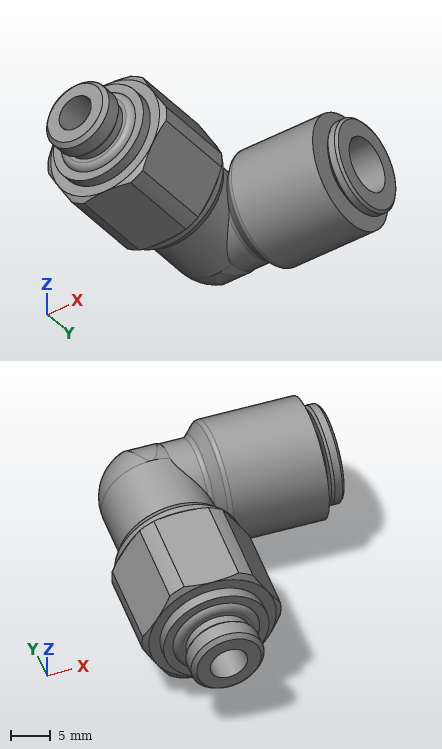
import cadquery as cq
import math


overall_length = 38.45

body_radius = 6.75
arm_radius = 6.3
body_end = -9.05

socket_radius = 8.1
socket_cone_end = 7.88
socket_blend_radius = 0.9
socket_end = 20.95
release_neck_radius = 4.6
release_radius = 6.55
release_start = 21.87
release_end = 23.55
release_chamfer = 0.35
arm_bore_radius = 3.85
arm_tip_depth = 2.23

collar_radius = 8.4
collar_top_radius = 7.73
collar_chamfer_end = -10.1
hex_start = -11.07
hex_end = -23.87
hex_flats = 17.03
hex_trim_radius = 9.25
hex_face_radius = 8.5
hex_chamfer_angle = 30

flange_radius = 7.05
flange_end = -25.35
seal_center_radius = 4.8
seal_section_radius = 1.05
seal_end = -26.02
undercut_radius = 4.3
undercut_end = -27.15
thread_radius = 4.9
thread_chamfer = thread_radius - undercut_radius
thread_end = socket_radius - overall_length
body_bore_radius = 2.5


def cylinder_y(radius, start, end):
    return cq.Workplane("XZ", origin=(0, start, 0)).circle(radius).extrude(start - end)


def revolve_y(profile):
    return profile.close().revolve(360, (0, 0, 0), (0, 1, 0))


def revolve_x(profile):
    return profile.close().revolve(360, (0, 0, 0), (1, 0, 0))


def make_elbow():
    """Round body with a domed top, flattened so that it meets the thinner arm."""
    domed_body = revolve_y(
        cq.Workplane("XY")
        .moveTo(0, body_end)
        .lineTo(body_radius, body_end)
        .lineTo(body_radius, 0)
        .threePointArc(
            (body_radius * math.sqrt(0.5), body_radius * math.sqrt(0.5)),
            (0, body_radius),
        )
    )
    clearance = 2 * body_radius
    dome_trim = (
        cq.Workplane("YZ", origin=(-body_radius, 0, 0))
        .moveTo(0, body_radius)
        .threePointArc((arm_radius, 0), (0, -body_radius))
        .lineTo(0, -clearance)
        .lineTo(clearance, -clearance)
        .lineTo(clearance, clearance)
        .lineTo(0, clearance)
        .close()
        .extrude(2 * body_radius)
    )
    return domed_body.cut(dome_trim)


def make_arm():
    """Arm and tube socket, joined by a 45 degree cone with rounded edges."""
    cone_start = socket_cone_end - (socket_radius - arm_radius)
    half_bend = math.radians(45 / 2)
    blend_length = socket_blend_radius * math.tan(half_bend)
    blend_leg = blend_length * math.sqrt(0.5)
    corner_gap = socket_blend_radius * (1 / math.cos(half_bend) - 1)
    gap_x = corner_gap * math.sin(half_bend)
    gap_r = corner_gap * math.cos(half_bend)
    arm = revolve_x(
        cq.Workplane("XY")
        .moveTo(0, 0)
        .lineTo(0, arm_radius)
        .lineTo(cone_start - blend_length, arm_radius)
        .threePointArc(
            (cone_start - gap_x, arm_radius + gap_r),
            (cone_start + blend_leg, arm_radius + blend_leg),
        )
        .lineTo(socket_cone_end - blend_leg, socket_radius - blend_leg)
        .threePointArc(
            (socket_cone_end + gap_x, socket_radius - gap_r),
            (socket_cone_end + blend_length, socket_radius),
        )
        .lineTo(socket_end, socket_radius)
        .lineTo(socket_end, release_neck_radius)
        .lineTo(release_start, release_neck_radius)
        .lineTo(release_start, 0)
    )
    release_ring = (
        cq.Workplane("YZ", origin=(release_start, 0, 0))
        .circle(release_radius)
        .extrude(release_end - release_start)
        .edges()
        .chamfer(release_chamfer)
    )
    return arm.union(release_ring)


def make_collar():
    return revolve_y(
        cq.Workplane("XY")
        .moveTo(0, body_end)
        .lineTo(collar_top_radius, body_end)
        .lineTo(collar_radius, collar_chamfer_end)
        .lineTo(collar_radius, hex_start)
        .lineTo(0, hex_start)
    )


def make_hexagon():
    """Hexagon with flats at +Z and -Z, trimmed to a round envelope with chamfered ends."""
    corner_diameter = hex_flats / math.cos(math.radians(30))
    prism = (
        cq.Workplane("XZ", origin=(0, hex_start, 0))
        .polygon(6, corner_diameter)
        .extrude(hex_start - hex_end)
    )
    slope = math.tan(math.radians(hex_chamfer_angle))
    chamfer_length = (hex_trim_radius - hex_face_radius) * slope
    envelope = revolve_y(
        cq.Workplane("XY")
        .moveTo(0, hex_start)
        .lineTo(hex_face_radius, hex_start)
        .lineTo(hex_trim_radius, hex_start - chamfer_length)
        .lineTo(hex_trim_radius, hex_end + chamfer_length)
        .lineTo(hex_face_radius, hex_end)
        .lineTo(0, hex_end)
    )
    return prism.intersect(envelope)


def make_threaded_end():
    """Flange, rounded seal ring, undercut and plain thread cylinder."""
    seal_center_y = seal_end + seal_section_radius
    seal_angle = math.asin((seal_center_y - flange_end) / seal_section_radius)

    def seal_point(angle):
        return (
            seal_center_radius + seal_section_radius * math.cos(angle),
            seal_center_y - seal_section_radius * math.sin(angle),
        )

    return revolve_y(
        cq.Workplane("XY")
        .moveTo(0, hex_end)
        .lineTo(flange_radius, hex_end)
        .lineTo(flange_radius, flange_end)
        .lineTo(*seal_point(seal_angle))
        .threePointArc(
            seal_point((seal_angle + math.pi / 2) / 2),
            seal_point(math.pi / 2),
        )
        .lineTo(undercut_radius, seal_end)
        .lineTo(undercut_radius, undercut_end)
        .lineTo(thread_radius, undercut_end - thread_chamfer)
        .lineTo(thread_radius, thread_end + thread_chamfer)
        .lineTo(thread_radius - thread_chamfer, thread_end)
        .lineTo(0, thread_end)
    )


def make_bores():
    """Bore up to the arm axis and a wider arm bore that ends in a conical tip."""
    body_bore = cylinder_y(body_bore_radius, 0, thread_end)
    arm_bore = revolve_x(
        cq.Workplane("XY")
        .moveTo(-arm_tip_depth, 0)
        .lineTo(0, arm_bore_radius)
        .lineTo(release_end, arm_bore_radius)
        .lineTo(release_end, 0)
    )
    return body_bore.union(arm_bore)


solid_fitting = (
    make_elbow()
    .union(make_arm())
    .union(make_collar())
    .union(make_hexagon())
    .union(make_threaded_end())
)
result = solid_fitting.cut(make_bores())